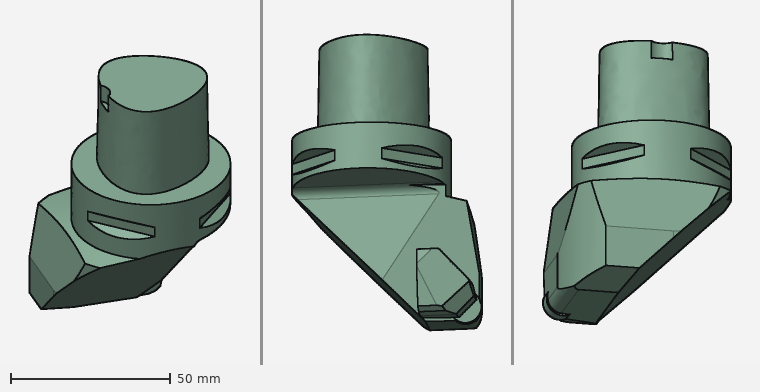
import cadquery as cq
import math

flange_radius = 25.0
flange_height = 20.0

slot_half_length = 11.6
slot_floor_distance = math.sqrt(flange_radius**2 - slot_half_length**2)
slot_center_z = -10.0
slot_floor_height = 3.3
slot_rim_height = 6.75
slot_angles = (45, 135, 225, 315)

shank_height = 30.0
shank_base_radius = 17.5
shank_top_radius = 16.9
shank_lobe = 1.3
shank_points = 36
key_radius = 4.5
key_depth = 5.8
key_bottom_y = -13.95

clearance = 0.11
flank_x = -34.4
flank_break_z = -44.2
flank_lean = 0.167
bottom_z = -59.3
nose_radius = 4.2
diagonal_offset = 42.0
front_y = -32.7
front_break_z = -39.6
front_top_y = -27.6
front_top_z = -20.7
front_bottom_z = -52.9
bottom_break_y = -20.4
bottom_break_z = -57.05
side_arc_start = (-32.9, -12.9)
side_arc_middle = (-29.3, -22.3)
side_arc_end = (-21.7, front_y)
front_arc_radius = 29.2
shoulder_slope = 0.25

head_reach = 54.0
head_low_z = -72.0

relief_y = 5.1
relief_edge_z = -14.8
relief_slope = 0.077
relief_fillet = 3.15

rake_slope_x = 0.15
rake_slope_z = 0.1
rake_edge_y = 0.8
rake_top_z = -16.5

insert_radius = 5.0
insert_thickness = 3.3
insert_x = -30.0
insert_z = -55.0

clamp_thickness = 7.7
clamp_right_x = -16.4
clamp_low_z = -58.3
clamp_top_z = -37.0
clamp_outline = [
    (-22.05, clamp_top_z),
    (-32.4, -48.0),
    (-33.5, -52.7),
    (-27.9, clamp_low_z),
    (clamp_right_x, clamp_low_z),
    (clamp_right_x, clamp_top_z),
]
clamp_side_outline = [
    (0, clamp_low_z),
    (5.1, clamp_low_z),
    (7.6, -57.7),
    (9.3, -56.2),
    (11.5, -43.2),
    (11.25, -38.3),
    (5.1, clamp_top_z),
    (0, clamp_top_z),
]
clamp_corner = [(-33.5, 5.1, -52.7), (-32.4, 9.0, -48.1), (-27.9, 5.1, clamp_low_z)]


def rake_y(x, z):
    return rake_edge_y + rake_slope_x * (x - flank_x) + rake_slope_z * (z - flank_break_z)


def rake_workplane():
    """Workplane on the rake plane at the insert centre, normal pointing out of the head."""
    origin = (insert_x, rake_y(insert_x, insert_z), insert_z)
    x_direction = (1, rake_slope_x, 0)
    normal = (-rake_slope_x, 1, -rake_slope_z)
    return cq.Workplane(cq.Plane(origin, x_direction, normal))


def make_shank():
    def lobed_outline(radius):
        angles = [2 * math.pi * i / shank_points for i in range(shank_points)]
        return [
            (
                radius * math.cos(angle) - shank_lobe * math.sin(2 * angle),
                radius * math.sin(angle) - shank_lobe * math.cos(2 * angle),
            )
            for angle in angles
        ]

    shank = (
        cq.Workplane("XY")
        .spline(lobed_outline(shank_base_radius), periodic=True).wire()
        .workplane(offset=shank_height)
        .spline(lobed_outline(shank_top_radius), periodic=True).wire()
        .loft()
    )
    key = (
        cq.Workplane("XY", origin=(0, key_bottom_y - key_radius, shank_height - key_depth))
        .circle(key_radius)
        .extrude(key_depth)
    )
    return shank.cut(key)


def make_flange():
    flange = cq.Workplane("XY").circle(flange_radius).extrude(-flange_height)
    floor = slot_floor_height / 2
    rim = slot_rim_height / 2
    slot = (
        cq.Workplane("XZ")
        .polyline([
            (slot_floor_distance, slot_center_z - floor),
            (flange_radius, slot_center_z - rim),
            (flange_radius, slot_center_z + rim),
            (slot_floor_distance, slot_center_z + floor),
        ])
        .close()
        .extrude(flange_radius, both=True)
    )
    for angle in slot_angles:
        flange = flange.cut(slot.rotate((0, 0, 0), (0, 0, 1), angle))
    return flange


def make_plan_prism():
    """Head seen along Z: curved side, flat front and a round toward +X."""
    arc_center_y = front_y + front_arc_radius
    half = math.sqrt(0.5) * front_arc_radius
    return (
        cq.Workplane("XY", origin=(0, 0, head_low_z))
        .moveTo(-head_reach, head_reach)
        .lineTo(-head_reach, side_arc_start[1])
        .lineTo(*side_arc_start)
        .threePointArc(side_arc_middle, side_arc_end)
        .lineTo(0, front_y)
        .threePointArc((half, arc_center_y - half), (front_arc_radius, arc_center_y))
        .lineTo(front_arc_radius, head_reach)
        .close()
        .extrude(-head_low_z)
    )


def make_clearance_prism():
    """Flank, nose, bottom and diagonal, swept along the slanted clearance direction."""
    far = head_reach
    direction = cq.Vector(clearance, -1, clearance)
    nose_center = (flank_x + nose_radius, bottom_z + nose_radius)
    nose_half = math.sqrt(0.5) * nose_radius
    profile = (
        cq.Workplane("XZ")
        .moveTo(flank_x - flank_lean * flank_break_z, 0)
        .lineTo(flank_x, flank_break_z)
        .lineTo(flank_x, nose_center[1])
        .threePointArc(
            (nose_center[0] - nose_half, nose_center[1] - nose_half),
            (nose_center[0], bottom_z),
        )
        .lineTo(bottom_z + diagonal_offset, bottom_z)
        .lineTo(far + diagonal_offset, far)
        .lineTo(flank_x + flank_lean * (far - flank_break_z), far)
        .close()
        .val()
        .translate(direction * -far)
    )
    return cq.Workplane(cq.Solid.extrudeLinear(profile, [], direction * (2 * far)))


def make_side_prism():
    """Head seen along X: leaning and upright front, rising bottom."""
    lean = (front_y - front_top_y) / (front_break_z - front_top_z)
    return (
        cq.Workplane("YZ")
        .polyline([
            (front_top_y - lean * front_top_z, 0),
            (front_y, front_break_z),
            (front_y, front_bottom_z),
            (bottom_break_y, bottom_break_z),
            (bottom_break_y, head_low_z),
            (head_reach, head_low_z),
            (head_reach, 0),
        ])
        .close()
        .extrude(head_reach, both=True)
    )


def make_shoulder_cone():
    edge_z = -flange_height - shoulder_slope * (head_reach - flange_radius)
    return (
        cq.Workplane("XZ")
        .polyline([
            (0, -flange_height),
            (flange_radius, -flange_height),
            (head_reach, edge_z),
            (head_reach, head_low_z),
            (0, head_low_z),
        ])
        .close()
        .revolve(360, (0, 0, 0), (0, 1, 0))
    )


def make_relief():
    """Open space behind the head, with a rounded inner corner under the flange."""
    def ceiling(y):
        return relief_edge_z - relief_slope * (flange_radius - y)

    inner_corner = cq.selectors.NearestToPointSelector((0, relief_y, ceiling(relief_y)))
    return (
        cq.Workplane("YZ")
        .polyline([
            (relief_y, head_low_z),
            (relief_y, ceiling(relief_y)),
            (head_reach, ceiling(head_reach)),
            (head_reach, head_low_z),
        ])
        .close()
        .extrude(head_reach, both=True)
        .edges(inner_corner)
        .fillet(relief_fillet)
    )


def make_clamp():
    reach = head_reach
    prism = cq.Workplane("XZ").polyline(clamp_outline).close().extrude(reach, both=True)
    side = cq.Workplane("YZ").polyline(clamp_side_outline).close().extrude(reach, both=True)
    plate = rake_workplane().rect(2 * reach, 2 * reach).extrude(clamp_thickness)
    first, second, third = [cq.Vector(*point) for point in clamp_corner]
    normal = (second - first).cross(third - first)
    corner = cq.Workplane(cq.Plane(first, third - first, normal)).rect(reach, reach).extrude(reach)
    return prism.intersect(side).intersect(plate).cut(corner)


def make_insert():
    return rake_workplane().circle(insert_radius).extrude(-insert_thickness)


def make_holder(insert):
    head = (
        make_plan_prism()
        .intersect(make_clearance_prism())
        .intersect(make_side_prism())
        .intersect(make_shoulder_cone())
    )
    below_flange = cq.Workplane("XY", origin=(0, 0, rake_top_z)).rect(4 * head_reach, 4 * head_reach)
    rake_cut = (
        rake_workplane()
        .rect(4 * head_reach, 4 * head_reach)
        .extrude(head_reach)
        .intersect(below_flange.extrude(2 * head_low_z))
    )
    diagonal_cut = (
        cq.Workplane("XZ")
        .polyline([
            (head_low_z + diagonal_offset, head_low_z),
            (diagonal_offset, 0),
            (diagonal_offset, head_low_z),
        ])
        .close()
        .extrude(head_reach, both=True)
    )
    body = make_flange().union(head).cut(make_relief()).cut(rake_cut).cut(diagonal_cut)
    return body.union(make_shank()).union(make_clamp()).cut(insert).solids()


insert = make_insert()
holder = make_holder(insert)

result = cq.Compound.makeCompound([holder.val(), insert.val()])